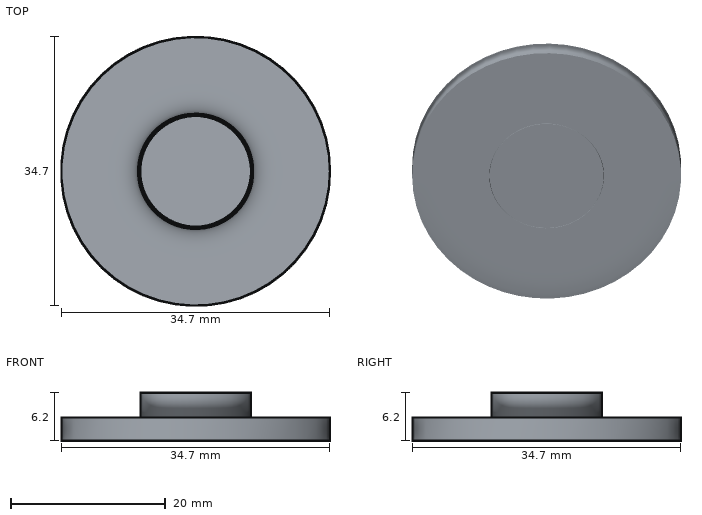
import cadquery as cq

disc_diameter = 34.7
disc_thickness = 3.02
bore_diameter = 14.8

foot_diameter = 14.7
boss_diameter = 14.3
total_height = 6.2
foot_height = disc_thickness


def make_disc():
    """Flat disc with a central through bore."""
    disc = cq.Workplane("XY").circle(disc_diameter / 2).extrude(disc_thickness)
    return disc.faces(">Z").workplane().hole(bore_diameter)


def make_plug():
    """Stepped round plug standing in the bore."""
    foot = cq.Workplane("XY").circle(foot_diameter / 2).extrude(foot_height)
    return foot.faces(">Z").workplane().circle(boss_diameter / 2).extrude(total_height - foot_height)


disc = make_disc()
plug = make_plug()

result = cq.Compound.makeCompound([disc.val(), plug.val()])